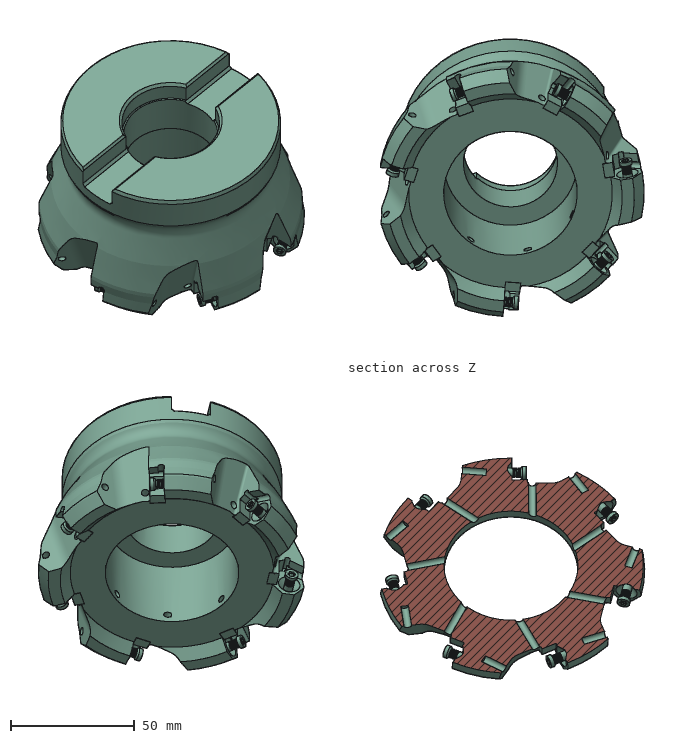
import cadquery as cq
import math


total_height = 62.35
cutting_radius = 54.13
tooth_count = 7
tooth_pitch = 360 / tooth_count
first_tooth_angle = 180

flange_radius = 44.5
flange_bottom = 47.9
rim_bevel_width = 0.8
rim_bevel_height = 1.5
neck_top_radius, neck_top = 43.9, 46.4
neck_radius, neck_middle = 42.2, 42.2
neck_bottom_radius, neck_bottom = 43.1, 38.4

cone_split_radius, cone_split = 48.1, 28.3
cone_step, cone_step_height = 0.25, 0.5
head_radius, head_top = 53.05, 15.6
land_radius, land_top, land_bottom = 53.36, 13.9, 10.0
edge_top = 5.2
edge_bottom_radius, edge_bottom = 53.75, 4.4
bottom_outer_radius = 50.1
bottom_inner_radius = 45.2
bottom_recess_radius = 41.2
bottom_recess_depth = 4.5

bore_radius = 19.0
pilot_radius = 19.7
pilot_depth = 8.2
bore_bevel = 1.1
bolt_recess_radius = 27.0
bolt_recess_top = 36.7

slot_width = 16.0
slot_depth = 9.5
slot_top_bevel = 0.9
slot_bottom_bevel = 1.1

seat_face_y = -7.0
pocket_corner_x, pocket_corner_y, pocket_corner_z = 44.5, -20.2, 20.8
pocket_lean_out = 0.28
pocket_lean_back = 0.09
pocket_back_slope = 1.55
pocket_corner_radius = 8.0
pocket_seat_fillet = 1.0
pocket_reach = 30.0
pocket_length = 60.0

coolant_radius = 1.5
coolant_z = 8.5
floor_hole_y = -8.9
back_hole_x, back_hole_y = 45.0, -24.9
back_hole_depth = 10.0

seat_floor_y = -0.8
seat_inner_x = 42.8
seat_inner_bottom, seat_inner_top = 4.7, 12.3
seat_undercut = 4.0
seat_peak_x, seat_peak_z = 46.2, 13.8
seat_outer_x, seat_outer_z = 53.0, 10.4
seat_relief_radius = 1.1
seat_groove_y = -1.9
seat_groove_radius = 1.35
seat_groove_overrun = 5.0
countersink_radius = 4.4

screw_x, screw_z = 48.0, 5.9
shank_radius = 1.9
groove_radius = 1.5
groove_width = 0.5
groove_count = 4
groove_pitch = 0.9
screw_head_radius = 2.6
head_length = 1.6
head_cone_length = 0.7
screw_head_y = -6.6
screw_hole_depth = 5.0
socket_core_radius = 1.15
socket_lobe_radius = 0.35
socket_lobe_count = 6
socket_depth = 1.0


def seat_plane(y):
    """Plane square to the screw axis, with local x radial, local y up and normal toward -Y."""
    return cq.Plane(origin=(0, y, 0), xDir=(1, 0, 0), normal=(0, -1, 0))


def make_blank():
    """Turned outer shape with bore, bolt recess and hollow cutting end."""
    return (
        cq.Workplane("YZ")
        .moveTo(pilot_radius + bore_bevel, total_height)
        .lineTo(flange_radius - rim_bevel_width, total_height)
        .lineTo(flange_radius, total_height - rim_bevel_height)
        .lineTo(flange_radius, flange_bottom)
        .lineTo(neck_top_radius, neck_top)
        .threePointArc((neck_radius, neck_middle), (neck_bottom_radius, neck_bottom))
        .lineTo(cone_split_radius, cone_split)
        .lineTo(cone_split_radius + cone_step, cone_split - cone_step_height)
        .lineTo(head_radius, head_top)
        .lineTo(land_radius, land_top)
        .lineTo(land_radius, land_bottom)
        .lineTo(cutting_radius, edge_top)
        .lineTo(edge_bottom_radius, edge_bottom)
        .lineTo(bottom_outer_radius, 0)
        .lineTo(bottom_inner_radius, 0)
        .lineTo(bottom_recess_radius, bottom_recess_depth)
        .lineTo(bolt_recess_radius, bottom_recess_depth)
        .lineTo(bolt_recess_radius, bolt_recess_top)
        .lineTo(bore_radius, bolt_recess_top)
        .lineTo(bore_radius, total_height - pilot_depth)
        .lineTo(pilot_radius, total_height - pilot_depth)
        .lineTo(pilot_radius, total_height - bore_bevel)
        .close()
        .revolve(360, (0, 0, 0), (0, 1, 0))
    )


def make_drive_slot():
    """Slot across the top along Y, with bevelled floor corners and bevelled top edges."""
    half = slot_width / 2
    floor = total_height - slot_depth
    return (
        cq.Workplane("XZ")
        .polyline([
            (-half + slot_bottom_bevel, floor),
            (half - slot_bottom_bevel, floor),
            (half, floor + slot_bottom_bevel),
            (half, total_height - slot_top_bevel),
            (half + slot_top_bevel, total_height),
            (-half - slot_top_bevel, total_height),
            (-half, total_height - slot_top_bevel),
            (-half, floor + slot_bottom_bevel),
        ])
        .close()
        .extrude(2 * flange_radius, both=True)
    )


def make_chip_pocket():
    """Leaning trough with a flat floor and sloping back, cut off square at the seat face."""
    trough_plane = cq.Plane(
        origin=(pocket_corner_x, pocket_corner_y, pocket_corner_z),
        xDir=(1, 0, -pocket_lean_out),
        normal=(pocket_lean_out, -pocket_lean_back, 1),
    )
    trough = (
        cq.Workplane(trough_plane)
        .polyline([
            (0, 0),
            (0, pocket_reach),
            (pocket_reach, pocket_reach),
            (pocket_reach, -pocket_back_slope * pocket_reach),
        ])
        .close()
        .extrude(pocket_length / 2, both=True)
    )
    corner = cq.selectors.NearestToPointSelector((pocket_corner_x, pocket_corner_y, pocket_corner_z))
    trough = trough.edges(corner).fillet(pocket_corner_radius)
    open_side = (
        cq.Workplane(seat_plane(seat_face_y))
        .rect(4 * cutting_radius, 4 * total_height)
        .extrude(2 * cutting_radius)
    )
    pocket = trough.intersect(open_side)
    return pocket.faces(">Y").edges("<X").fillet(pocket_seat_fillet)


def make_insert_seat():
    """Insert recess behind the seat face, with a round peak and a groove along its sloping top."""
    depth = seat_floor_y - seat_face_y
    beyond = cutting_radius + seat_relief_radius
    below = -seat_relief_radius
    slope_x = seat_outer_x - seat_peak_x
    slope_z = seat_outer_z - seat_peak_z
    slope_length = math.hypot(slope_x, slope_z)
    recess = (
        cq.Workplane(seat_plane(seat_floor_y))
        .polyline([
            (seat_inner_x - seat_undercut, below),
            (seat_inner_x - seat_undercut, seat_inner_bottom),
            (seat_inner_x, seat_inner_bottom),
            (seat_inner_x, seat_inner_top),
            (seat_peak_x, seat_peak_z),
            (seat_outer_x, seat_outer_z),
            (beyond, seat_outer_z),
            (beyond, below),
        ])
        .close()
        .extrude(depth)
    )
    peak_relief = (
        cq.Workplane(seat_plane(seat_floor_y))
        .center(seat_peak_x, seat_peak_z)
        .circle(seat_relief_radius)
        .extrude(depth)
    )
    groove_plane = cq.Plane(
        origin=(seat_peak_x, seat_groove_y, seat_peak_z),
        xDir=(0, 1, 0),
        normal=(slope_x, 0, slope_z),
    )
    corner_groove = (
        cq.Workplane(groove_plane)
        .circle(seat_groove_radius)
        .extrude(slope_length + seat_groove_overrun)
    )
    return recess.union(peak_relief).union(corner_groove)


def make_screw_hole():
    """Plain hole for the shank with a countersink at the seat floor."""
    sink_depth = countersink_radius - shank_radius
    bottom_y = seat_floor_y + screw_hole_depth
    hole = (
        cq.Workplane(seat_plane(bottom_y))
        .center(screw_x, screw_z)
        .circle(shank_radius)
        .extrude(screw_hole_depth)
    )
    sink = (
        cq.Workplane(seat_plane(seat_floor_y))
        .center(screw_x, screw_z)
        .circle(countersink_radius)
        .workplane(offset=-sink_depth)
        .circle(shank_radius)
        .loft(ruled=True)
    )
    return hole.union(sink)


def make_coolant_holes():
    """Radial hole from the pocket floor to the bolt recess, and a blind hole in the pocket back."""
    floor_hole = (
        cq.Workplane("YZ")
        .center(floor_hole_y, coolant_z)
        .circle(coolant_radius)
        .extrude(pocket_corner_x)
    )
    back_plane = cq.Plane(
        origin=(back_hole_x, back_hole_y, coolant_z),
        xDir=(0, 0, 1),
        normal=(pocket_back_slope, 1, 0),
    )
    back_hole = cq.Workplane(back_plane).circle(coolant_radius).extrude(back_hole_depth, both=True)
    return floor_hole.union(back_hole)


def make_screw():
    """Screw with a conical-backed head, six-lobed socket and grooved shank."""
    tip = -screw_hole_depth
    head_top_at = seat_floor_y - screw_head_y
    head_base = head_top_at - head_length
    neck = head_base - head_cone_length
    profile = (
        cq.Workplane("XY")
        .moveTo(0, tip)
        .lineTo(shank_radius, tip)
        .lineTo(shank_radius, neck)
        .lineTo(screw_head_radius, head_base)
        .lineTo(screw_head_radius, head_top_at)
        .lineTo(0, head_top_at)
        .close()
    )
    screw = profile.revolve(360, (0, 0, 0), (0, 1, 0))
    for index in range(groove_count):
        groove = (
            cq.Workplane("XZ", origin=(0, neck - index * groove_pitch, 0))
            .circle(shank_radius)
            .circle(groove_radius)
            .extrude(groove_width)
        )
        screw = screw.cut(groove)
    socket_plane = cq.Workplane("XZ", origin=(0, head_top_at, 0))
    socket = socket_plane.circle(socket_core_radius).extrude(socket_depth)
    lobes = (
        socket_plane.polarArray(socket_core_radius, 0, 360, socket_lobe_count)
        .circle(socket_lobe_radius)
        .extrude(socket_depth)
    )
    screw = screw.cut(socket.union(lobes))
    return screw.rotate((0, 0, 0), (0, 0, 1), 180).translate((screw_x, seat_floor_y, screw_z))


def place_at_tooth(shape, index):
    """Turn a shape from the +X side to its tooth position."""
    return shape.rotate((0, 0, 0), (0, 0, 1), first_tooth_angle + index * tooth_pitch)


tooth_cutters = [make_chip_pocket(), make_insert_seat(), make_screw_hole(), make_coolant_holes()]
cutter_body = make_blank().cut(make_drive_slot())
for tooth in range(tooth_count):
    for cutter in tooth_cutters:
        cutter_body = cutter_body.cut(place_at_tooth(cutter, tooth))

seat_screw = make_screw()
screws = [place_at_tooth(seat_screw, tooth).val() for tooth in range(tooth_count)]

result = cq.Compound.makeCompound([cutter_body.val(), *screws])